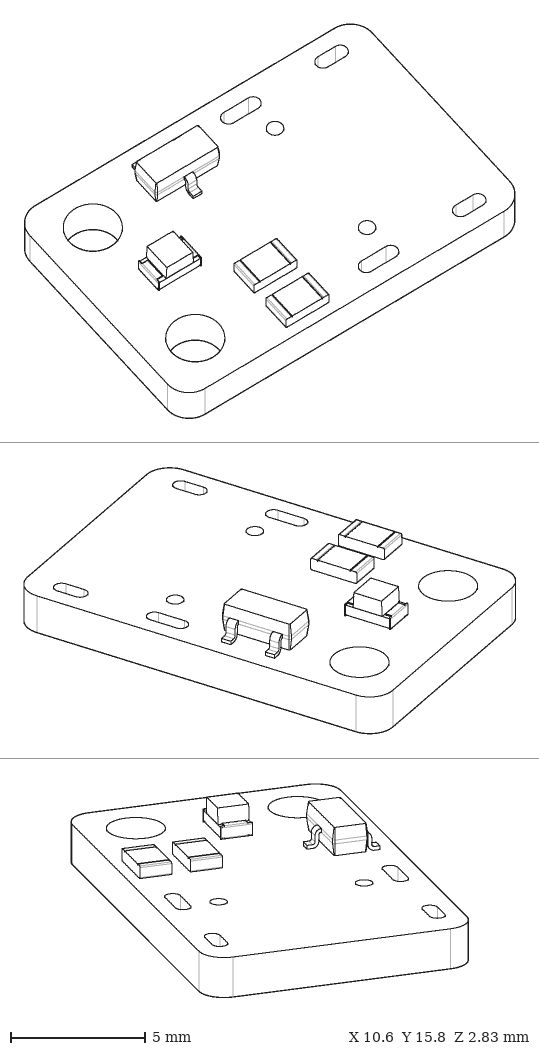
import cadquery as cq

BOARD_WIDTH = 10.6
BOARD_LENGTH = 15.85
BOARD_THICKNESS = 1.6
BOARD_CORNER_RADIUS = 1.0

MOUNT_HOLE_DIAMETER = 2.2
MOUNT_HOLE_X = 3.2
MOUNT_HOLE_Y = -5.82

PIN_HOLE_DIAMETER = 0.65
PIN_HOLE_X = 2.875
PIN_HOLE_Y = 2.375

SLOT_WIDTH = 0.6
SLOT_X = 4.3
UPPER_SLOT_LENGTH = 1.4
UPPER_SLOT_Y = 6.05
LOWER_SLOT_LENGTH = 1.73
LOWER_SLOT_Y = 1.85

TRANSISTOR_X = -3.325
TRANSISTOR_Y = -1.82
TRANSISTOR_HEIGHT = 1.23
PACKAGE_WIDTH = 1.4
PACKAGE_LENGTH = 3.0
PACKAGE_CORNER_CHAMFER = 0.07
PACKAGE_STANDOFF = 0.1
PACKAGE_DRAFT_ANGLE = 8.0

LEAD_THICKNESS = 0.15
LEAD_WIDTH = 0.4
LEAD_SPAN = 2.54
LEAD_KNEE = 0.95
LEAD_TOP = 0.75
LEAD_INNER_RADIUS = 0.1
LEAD_PITCH = 0.95

CHIP_WIDTH = 1.25
CHIP_LENGTH = 2.0
CHIP_EDGE_RADIUS = 0.05

RESISTOR_HEIGHT = 0.5
RESISTOR_CAP_LENGTH = 0.3
RESISTOR_Y = -1.83
RESISTOR_XS = (2.2, 4.2)

LED_X = 0.0
LED_Y = -4.62
LED_HEIGHT = 1.12
LED_BASE_HEIGHT = 0.52
TERMINAL_THICKNESS = 0.05
FLAP_WIDTH = 0.92
FLAP_LENGTH = 0.32
CORE_WIDTH = 1.24
LENS_WIDTH = 1.23
LENS_BOTTOM_LENGTH = 1.27
LENS_TOP_LENGTH = 1.2


def make_board():
    board = (
        cq.Workplane("XY")
        .rect(BOARD_WIDTH, BOARD_LENGTH)
        .extrude(BOARD_THICKNESS)
        .edges("|Z")
        .fillet(BOARD_CORNER_RADIUS)
    )
    hole_kinds = (
        (MOUNT_HOLE_X, MOUNT_HOLE_Y, MOUNT_HOLE_DIAMETER),
        (PIN_HOLE_X, PIN_HOLE_Y, PIN_HOLE_DIAMETER),
    )
    for x, y, diameter in hole_kinds:
        holes = (
            cq.Workplane("XY")
            .pushPoints([(-x, y), (x, y)])
            .circle(diameter / 2)
            .extrude(BOARD_THICKNESS)
        )
        board = board.cut(holes)
    slot_kinds = (
        (UPPER_SLOT_Y, UPPER_SLOT_LENGTH),
        (LOWER_SLOT_Y, LOWER_SLOT_LENGTH),
    )
    for y, length in slot_kinds:
        slots = (
            cq.Workplane("XY")
            .pushPoints([(-SLOT_X, y), (SLOT_X, y)])
            .slot2D(length, SLOT_WIDTH, 90)
            .extrude(BOARD_THICKNESS)
        )
        board = board.cut(slots)
    return board


def make_package():
    """Moulded body: a straight band at lead height, drafted inwards above and below."""
    band_bottom = LEAD_TOP - LEAD_THICKNESS

    def slab(bottom, height, draft):
        outline = (
            cq.Sketch()
            .rect(PACKAGE_WIDTH, PACKAGE_LENGTH)
            .vertices()
            .chamfer(PACKAGE_CORNER_CHAMFER)
        )
        return (
            cq.Workplane("XY")
            .workplane(offset=bottom)
            .placeSketch(outline)
            .extrude(height, taper=draft)
        )

    band = slab(band_bottom, LEAD_THICKNESS, 0)
    upper = slab(LEAD_TOP, TRANSISTOR_HEIGHT - LEAD_TOP, PACKAGE_DRAFT_ANGLE)
    lower = slab(band_bottom, PACKAGE_STANDOFF - band_bottom, PACKAGE_DRAFT_ANGLE)
    return band.union(upper).union(lower)


def make_lead():
    """Gull-wing lead running from the package centre line out to its foot in +X."""
    inner = LEAD_INNER_RADIUS
    outer = inner + LEAD_THICKNESS
    knee_inside = LEAD_KNEE - LEAD_THICKNESS
    shoulder_x = LEAD_KNEE - outer
    foot_x = LEAD_KNEE + inner
    shoulder_z = LEAD_TOP - outer
    tip_x = LEAD_SPAN / 2
    return (
        cq.Workplane("XZ")
        .moveTo(0, LEAD_TOP)
        .lineTo(shoulder_x, LEAD_TOP)
        .tangentArcPoint((LEAD_KNEE, shoulder_z), relative=False)
        .lineTo(LEAD_KNEE, outer)
        .tangentArcPoint((foot_x, LEAD_THICKNESS), relative=False)
        .lineTo(tip_x, LEAD_THICKNESS)
        .lineTo(tip_x, 0)
        .lineTo(foot_x, 0)
        .tangentArcPoint((knee_inside, outer), relative=False)
        .lineTo(knee_inside, shoulder_z)
        .tangentArcPoint((shoulder_x, LEAD_TOP - LEAD_THICKNESS), relative=False)
        .lineTo(0, LEAD_TOP - LEAD_THICKNESS)
        .close()
        .extrude(LEAD_WIDTH / 2, both=True)
    )


def make_transistor():
    transistor = make_package().union(make_lead())
    for y in (-LEAD_PITCH, LEAD_PITCH):
        lead = make_lead().rotate((0, 0, 0), (0, 0, 1), 180).translate((0, y, 0))
        transistor = transistor.union(lead)
    return transistor.translate((TRANSISTOR_X, TRANSISTOR_Y, BOARD_THICKNESS))


def make_resistor(x):
    """Chip with rounded ends and a groove where each end cap meets the top plate."""
    chip = (
        cq.Workplane("XY")
        .box(CHIP_WIDTH, CHIP_LENGTH, RESISTOR_HEIGHT, centered=(True, True, False))
        .edges("|X")
        .fillet(CHIP_EDGE_RADIUS)
    )
    plate_end = CHIP_LENGTH / 2 - RESISTOR_CAP_LENGTH
    groove = (
        cq.Workplane("YZ")
        .moveTo(plate_end, RESISTOR_HEIGHT)
        .lineTo(plate_end, RESISTOR_HEIGHT - CHIP_EDGE_RADIUS)
        .radiusArc((plate_end + CHIP_EDGE_RADIUS, RESISTOR_HEIGHT), CHIP_EDGE_RADIUS)
        .close()
        .extrude(CHIP_WIDTH / 2, both=True)
    )
    chip = chip.cut(groove).cut(groove.mirror("XZ"))
    return chip.translate((x, RESISTOR_Y, BOARD_THICKNESS))


def make_terminals():
    """LED end terminals: full-width end plates with narrower flaps folded over and under the core."""
    envelope = (
        cq.Workplane("XY")
        .box(CHIP_WIDTH, CHIP_LENGTH, LED_BASE_HEIGHT, centered=(True, True, False))
        .edges("|X")
        .fillet(CHIP_EDGE_RADIUS)
    )

    def end_strips(width, length):
        y = (CHIP_LENGTH - length) / 2
        return (
            cq.Workplane("XY")
            .pushPoints([(0, -y), (0, y)])
            .rect(width, length)
            .extrude(LED_BASE_HEIGHT)
        )

    plates = end_strips(CHIP_WIDTH, TERMINAL_THICKNESS)
    flaps = end_strips(FLAP_WIDTH, FLAP_LENGTH)
    return envelope.intersect(plates.union(flaps))


def make_led():
    core_length = CHIP_LENGTH - 2 * TERMINAL_THICKNESS
    core_top = LED_BASE_HEIGHT - TERMINAL_THICKNESS
    core = (
        cq.Workplane("XY")
        .workplane(offset=TERMINAL_THICKNESS)
        .rect(CORE_WIDTH, core_length)
        .extrude(core_top - TERMINAL_THICKNESS)
    )
    lens = (
        cq.Workplane("YZ")
        .moveTo(-LENS_BOTTOM_LENGTH / 2, core_top)
        .lineTo(LENS_BOTTOM_LENGTH / 2, core_top)
        .lineTo(LENS_TOP_LENGTH / 2, LED_HEIGHT)
        .lineTo(-LENS_TOP_LENGTH / 2, LED_HEIGHT)
        .close()
        .extrude(LENS_WIDTH / 2, both=True)
    )
    led = core.union(make_terminals()).union(lens)
    return led.translate((LED_X, LED_Y, BOARD_THICKNESS))


board = make_board()
transistor = make_transistor()
resistors = [make_resistor(x) for x in RESISTOR_XS]
led = make_led()

result = cq.Compound.makeCompound(
    [
        board.val(),
        transistor.val(),
        *[resistor.val() for resistor in resistors],
        led.val(),
    ]
)